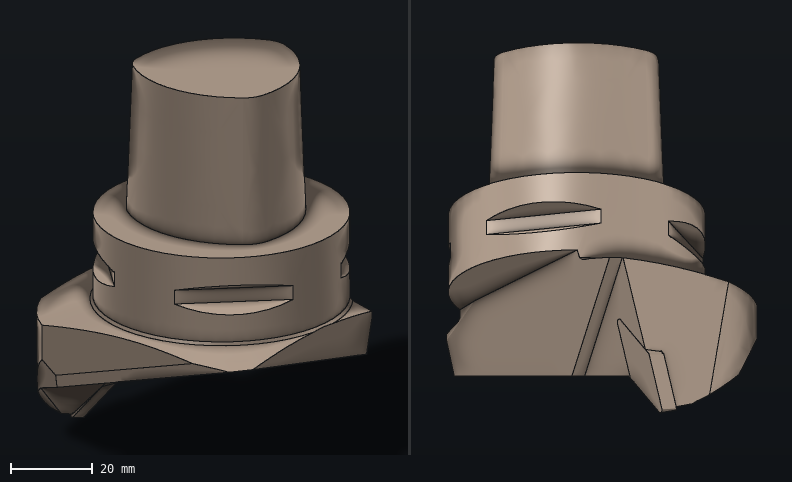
import cadquery as cq
import math


shank_height = 38.0
lobe_reach = 23.5
flank_reach = 20.6
flank_center_offset = 8.5
shank_taper = 1.4

flange_radius = 31.5
flange_height = 20.1
collar_bottom = -22.0
slot_count = 4
slot_floor_radius = 27.9
slot_center_z = -11.1
slot_floor_height = 3.6
slot_mouth_height = 7.7

shoulder_radius = 32.2
shoulder_z = -22.8
shoulder_angle = 15.0
shoulder_outer_radius = 61.8
head_right = 32.0
head_back = 19.1
head_front = -34.9
blend_front_x = -28.3
head_bottom = -64.9
side_top = -26.3
side_bottom = -57.0
blend_top = (-40.2, -20.7)
blend_bottom = (-42.5, -14.2)
bulge_top = 1.2
bulge_bottom = 2.1
side_lean = 0.076

underside_corner = (27.8, -32.1, -25.9)
underside_rise = (0.315, -0.21)
front_relief_rise = (0.315, -1.39)
corner_relief_point = (blend_front_x, head_front, -35.2)
corner_relief_rise = (-0.72, -2.05)
nose_clearance_point = (-34.5, 2.1, -52.8)
nose_clearance_rise = (1.23, -0.24)
side_clearance_point = (-36.9, -26.3, -47.8)
side_clearance_rise = (0.4, -0.61)

chip_corner = (-39.6, 12.3, -25.9)
step_wall_normal = (-0.8, 0.8, -1.0)

rake_slope_x = 0.0956
rake_slope_z = 0.24
rake_normal = (-rake_slope_x, 1.0, -rake_slope_z)
nose_point = (-45.0, -0.2, -66.6)
insert_edge = 16.8
insert_thickness = 4.7
insert_nose_angle = 35.0
insert_lead_angle = 3.0
insert_relief = 5.0
insert_nose_radius = 0.8

space = 309.0


def half_space(origin, normal):
    """Large block on the side of a plane that its normal points to."""
    plane = cq.Plane(origin=origin, normal=normal)
    return cq.Workplane(plane).rect(space, space).extrude(space)


def below(origin, rise):
    """Everything under the plane through origin with the given rises in z."""
    return half_space(origin, (*rise, -1.0))


def polar(radius, degrees):
    angle = math.radians(degrees)
    return cq.Vector(radius * math.cos(angle), radius * math.sin(angle), 0)


def lobed_wire(inset, z):
    """Three lobes joined by three tangent flank arcs."""
    flank_radius = flank_center_offset + flank_reach
    gap = flank_radius - lobe_reach
    lobe_center = (flank_center_offset**2 - gap**2) / (2 * gap - flank_center_offset)
    lobe_radius = lobe_reach - lobe_center - inset
    edges = []
    for lobe in (90, 210, 330):
        center = polar(lobe_center, lobe)
        away = center - polar(flank_center_offset, lobe - 120)
        end = center + away.normalized() * lobe_radius
        half_span = math.degrees(end.getAngle(center))
        start = polar(end.Length, lobe - half_span)
        next_start = polar(end.Length, lobe + 120 - half_span)
        crest = polar(lobe_reach - inset, lobe)
        flank_middle = polar(flank_reach - inset, lobe + 60)
        edges.append(cq.Edge.makeThreePointArc(start, crest, end))
        edges.append(cq.Edge.makeThreePointArc(end, flank_middle, next_start))
    return cq.Wire.assembleEdges(edges).translate(cq.Vector(0, 0, z))


def make_shank():
    wires = [lobed_wire(0, 0), lobed_wire(shank_taper, shank_height)]
    return cq.Workplane(cq.Solid.makeLoft(wires, True))


def make_flange():
    flange = cq.Workplane().circle(flange_radius).extrude(-flange_height)
    depth = flange_radius - slot_floor_radius
    outer = slot_floor_radius + 2 * depth
    flare = slot_mouth_height - slot_floor_height
    slot = (
        cq.Workplane("XZ")
        .moveTo(slot_floor_radius, slot_center_z - slot_floor_height / 2)
        .lineTo(outer, slot_center_z - slot_floor_height / 2 - flare)
        .lineTo(outer, slot_center_z + slot_floor_height / 2 + flare)
        .lineTo(slot_floor_radius, slot_center_z + slot_floor_height / 2)
        .close()
        .extrude(flange_radius, both=True)
    )
    for i in range(slot_count):
        flange = flange.cut(slot.rotate((0, 0, 0), (0, 0, 1), 45 + i * 360 / slot_count))
    return flange


def side_section(blend, bulge, z):
    """Closed head outline with its rounded side starting at blend."""
    start = cq.Vector(*blend)
    end = cq.Vector(blend_front_x, head_front)
    chord = end - start
    outward = cq.Vector(chord.y, -chord.x).normalized()
    middle = (start + end) * 0.5 + outward * bulge
    far_x = blend[0] - side_lean * (head_back - blend[1])
    return (
        cq.Workplane(origin=(0, 0, z))
        .moveTo(far_x, head_back)
        .lineTo(*blend)
        .threePointArc((middle.x, middle.y), (end.x, end.y))
        .lineTo(head_right, head_front)
        .lineTo(head_right, head_back)
        .close()
        .wires()
        .val()
    )


def extrapolate(top, bottom, z):
    return top + (bottom - top) * (z - side_top) / (side_bottom - side_top)


def make_head_column():
    """Ruled block whose left side leans out toward the cutting nose."""
    wires = []
    for z in (-flange_height, head_bottom):
        blend = tuple(extrapolate(a, b, z) for a, b in zip(blend_top, blend_bottom))
        wires.append(side_section(blend, extrapolate(bulge_top, bulge_bottom, z), z))
    return cq.Workplane(cq.Solid.makeLoft(wires, True))


def make_shoulder():
    """Round collar running out into a shallow cone that tops the head."""
    drop = (shoulder_outer_radius - shoulder_radius) * math.tan(math.radians(shoulder_angle))
    return (
        cq.Workplane("XZ")
        .moveTo(0, -flange_height)
        .lineTo(flange_radius, -flange_height)
        .lineTo(flange_radius, collar_bottom)
        .lineTo(shoulder_radius, shoulder_z)
        .lineTo(shoulder_outer_radius, shoulder_z - drop)
        .lineTo(shoulder_outer_radius, head_bottom)
        .lineTo(0, head_bottom)
        .close()
        .revolve(360, (0, 0, 0), (0, 1, 0))
    )


def make_head():
    head = make_head_column().intersect(make_shoulder())

    underside = below(underside_corner, underside_rise)
    nose_clearance = below(nose_clearance_point, nose_clearance_rise)
    side_clearance = below(side_clearance_point, side_clearance_rise)
    head = head.cut(underside.intersect(nose_clearance))
    head = head.cut(underside.intersect(side_clearance))

    head = head.cut(below(underside_corner, front_relief_rise))
    head = head.cut(below(corner_relief_point, corner_relief_rise))

    head = head.cut(half_space(chip_corner, rake_normal))
    step_wall = half_space(chip_corner, step_wall_normal)
    return head.cut(half_space(nose_point, rake_normal).intersect(step_wall))


def make_insert():
    """Rhombic insert with tapered flanks, its face on the rake plane."""
    plane = cq.Plane(origin=nose_point, xDir=(1, rake_slope_x, 0), normal=rake_normal)
    first = polar(insert_edge, -90 + insert_lead_angle)
    second = polar(insert_edge, -90 + insert_lead_angle + insert_nose_angle)
    corners = [cq.Vector(), first, first + second, second]
    outline = cq.Sketch().polygon([(c.x, c.y) for c in corners + corners[:1]])
    outline = outline.vertices().fillet(insert_nose_radius)
    return cq.Workplane(plane).placeSketch(outline).extrude(-insert_thickness, taper=insert_relief)


insert = make_insert()
holder = make_shank().union(make_flange()).union(make_head()).cut(insert)
result = cq.Compound.makeCompound([holder.val(), insert.val()])